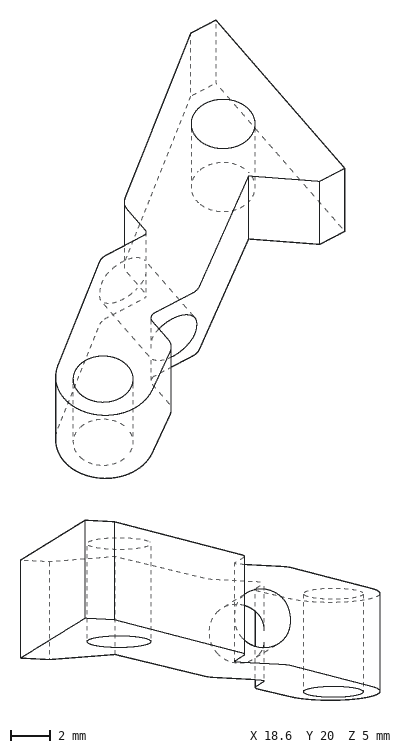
import cadquery as cq
import math

width = 18.56
length = 19.98
thickness = 5.0

head_width = 11.57
head_side = 1.52
notch_x = 9.3
notch_y = length - 4.28

waist_left = 9.55
waist_right = 14.0
upper_step_x = 7.27
upper_step_y = length - 10.53
waist_left_end_y = length - 13.37
lower_step_x = 16.26
lower_step_y = length - 13.53

end_radius = 2.5
end_x = width - end_radius
end_y = end_radius

outer_fillet = 0.88
left_inner_fillet = 0.24
right_inner_fillet = 0.4

head_hole_diameter = 3.2
head_hole_x = head_width / 2
head_hole_y = length - 3.45
end_hole_diameter = 3.0
end_hole_x = 16.12
end_hole_y = 2.32
cross_hole_diameter = 3.0
cross_hole_y = length - 12.05
cross_hole_z = 2.3


def end_point(angle):
    """Point on the rounded end at an angle measured from +X."""
    return (end_x + end_radius * math.cos(angle), end_y + end_radius * math.sin(angle))


def tangent_angle(corner, side):
    """Angle at which a line from corner touches the rounded end; side is +1 or -1."""
    dx = corner[0] - end_x
    dy = corner[1] - end_y
    return math.atan2(dy, dx) + side * math.acos(end_radius / math.hypot(dx, dy))


def make_plate():
    waist_corner = (waist_left, waist_left_end_y)
    lower_corner = (lower_step_x, lower_step_y)
    left_angle = tangent_angle(waist_corner, 1)
    right_angle = tangent_angle(lower_corner, -1)
    middle_angle = (left_angle + right_angle + 2 * math.pi) / 2
    return (
        cq.Workplane("XY")
        .moveTo(0, length)
        .lineTo(0, length - head_side)
        .lineTo(upper_step_x, upper_step_y)
        .lineTo(waist_left, upper_step_y)
        .lineTo(*waist_corner)
        .lineTo(*end_point(left_angle))
        .threePointArc(end_point(middle_angle), end_point(right_angle))
        .lineTo(*lower_corner)
        .lineTo(waist_right, lower_step_y)
        .lineTo(waist_right, upper_step_y)
        .lineTo(notch_x, notch_y)
        .lineTo(head_width, length - head_side)
        .lineTo(head_width, length)
        .close()
        .extrude(thickness)
    )


def round_corner(body, x, y, radius):
    """Round the vertical edge at (x, y)."""
    edge = cq.selectors.NearestToPointSelector((x, y, thickness / 2))
    return body.edges("|Z").edges(edge).fillet(radius)


def vertical_hole(x, y, diameter):
    return cq.Workplane("XY").center(x, y).circle(diameter / 2).extrude(thickness)


def cross_hole():
    return (
        cq.Workplane("YZ")
        .center(cross_hole_y, cross_hole_z)
        .circle(cross_hole_diameter / 2)
        .extrude(width)
    )


result = make_plate()
rounded_corners = [
    (upper_step_x, upper_step_y, outer_fillet),
    (waist_left, upper_step_y, left_inner_fillet),
    (waist_left, waist_left_end_y, outer_fillet),
    (waist_right, upper_step_y, outer_fillet),
    (waist_right, lower_step_y, right_inner_fillet),
    (lower_step_x, lower_step_y, outer_fillet),
]
for corner_x, corner_y, corner_radius in rounded_corners:
    result = round_corner(result, corner_x, corner_y, corner_radius)

result = result.cut(vertical_hole(head_hole_x, head_hole_y, head_hole_diameter))
result = result.cut(vertical_hole(end_hole_x, end_hole_y, end_hole_diameter))
result = result.cut(cross_hole())